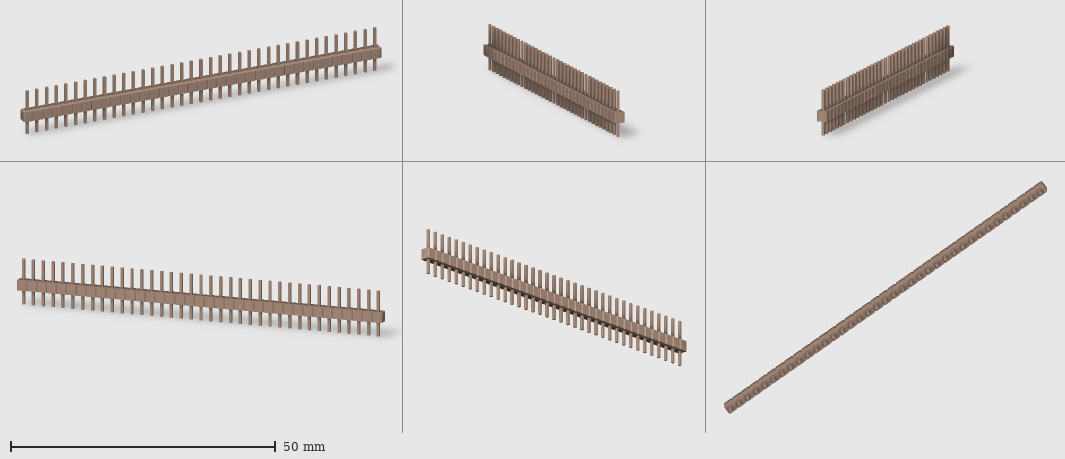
import cadquery as cq

pin_count = 37
strip_length = 74.0
body_width = 2.0
body_height = 2.0
pin_side = 0.5
pin_above_body = 4.0
pin_below_body = 2.8
corner_chamfer = 0.2

pitch = strip_length / pin_count
pin_length = pin_below_body + body_height + pin_above_body
half_width = body_width / 2
half_pitch = pitch / 2


def pin_positions():
    """Centre of each pin along the strip, which is centred on the origin."""
    first = -strip_length / 2 + half_pitch
    return [(0, first + index * pitch) for index in range(pin_count)]


def housing_cell():
    """One housing segment; its cut corners form V grooves between neighbours."""
    inner_x = half_width - corner_chamfer
    inner_y = half_pitch - corner_chamfer
    outline = [
        (inner_x, half_pitch),
        (half_width, inner_y),
        (half_width, -inner_y),
        (inner_x, -half_pitch),
        (-inner_x, -half_pitch),
        (-half_width, -inner_y),
        (-half_width, inner_y),
        (-inner_x, half_pitch),
    ]
    return cq.Workplane("XY").polyline(outline).close().extrude(body_height)


def pins():
    """Square pins standing through the housing."""
    return (
        cq.Workplane("XY", origin=(0, 0, -pin_below_body))
        .pushPoints(pin_positions())
        .rect(pin_side, pin_side)
        .extrude(pin_length)
    )


cell = housing_cell().val()
housing = cq.Workplane("XY").pushPoints(pin_positions()).eachpoint(cell, combine=True)
result = housing.union(pins()).clean()